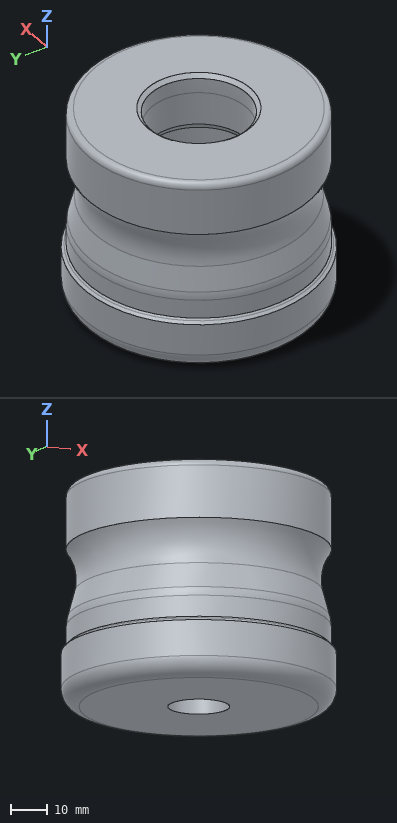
import cadquery as cq
import math

total_height = 61.7
base_radius = 38.1
body_radius = 36.7

base_height = 16.5
rim_bottom_z = 15.25
rim_break_z = 16.0
rim_break_radius = 37.25
base_fillet = 5.0
hole_radius = 8.5
hole_chamfer = 0.4

top_fillet = 2.05
collar_bottom_z = 44.7
cone_top_z = 32.4
shoulder_top_z = 25.1
shoulder_bottom_z = 22.55
cone_angle = math.radians(15)

bore_radius = 15.8
lead_in_radius = 15.9
mouth_chamfer = 1.2
lead_in_depth = 5.9
relief_depth = 16.45
relief_taper_height = 1.7
relief_radius = 16.6

shoulder_arc_radius = (shoulder_top_z - shoulder_bottom_z) / math.sin(cone_angle)
cone_bottom_radius = body_radius - shoulder_arc_radius * (1 - math.cos(cone_angle))
cone_top_radius = cone_bottom_radius - (cone_top_z - shoulder_top_z) * math.tan(cone_angle)


def make_base():
    """Disc with a rounded foot, a bevelled rim and a central through hole."""
    outline = (
        cq.Workplane("XZ")
        .moveTo(hole_radius, 0)
        .lineTo(base_radius - base_fillet, 0)
        .tangentArcPoint((base_radius, base_fillet), relative=False)
        .lineTo(base_radius, rim_bottom_z)
        .lineTo(rim_break_radius, rim_break_z)
        .lineTo(body_radius, base_height)
        .lineTo(hole_radius + hole_chamfer, base_height)
        .lineTo(hole_radius, base_height - hole_chamfer)
        .close()
    )
    return outline.revolve(360, (0, 0, 0), (0, 1, 0))


def make_body():
    """Waisted sleeve standing on the base, with a relieved bore."""
    relief_top_z = total_height - relief_depth
    outline = (
        cq.Workplane("XZ")
        .moveTo(relief_radius, base_height)
        .lineTo(body_radius, base_height)
        .lineTo(body_radius, shoulder_bottom_z)
        .tangentArcPoint((cone_bottom_radius, shoulder_top_z), relative=False)
        .lineTo(cone_top_radius, cone_top_z)
        .tangentArcPoint((body_radius, collar_bottom_z), relative=False)
        .lineTo(body_radius, total_height - top_fillet)
        .tangentArcPoint((body_radius - top_fillet, total_height), relative=False)
        .lineTo(lead_in_radius + mouth_chamfer, total_height)
        .lineTo(lead_in_radius, total_height - mouth_chamfer)
        .lineTo(bore_radius, total_height - lead_in_depth)
        .lineTo(bore_radius, relief_top_z)
        .lineTo(relief_radius, relief_top_z - relief_taper_height)
        .close()
    )
    return outline.revolve(360, (0, 0, 0), (0, 1, 0))


base = make_base()
body = make_body()

result = cq.Compound.makeCompound([base.val(), body.val()])